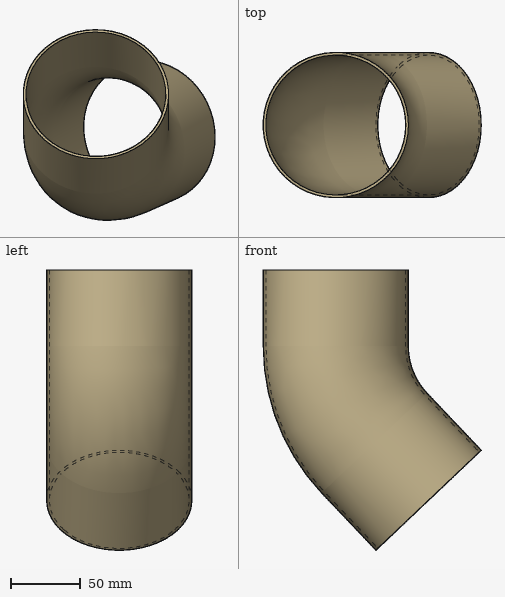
import cadquery as cq
import math

outer_diameter = 104.0
inner_diameter = 100.0
bend_radius = 101.0
bend_angle = 43.5
inlet_length = 54.5
outlet_length = 56.2

angle = math.radians(bend_angle)
half_angle = angle / 2


def point_on_bend(turn):
    """Centreline point in the XZ plane after the given turn in radians."""
    return (bend_radius * (1 - math.cos(turn)), -bend_radius * math.sin(turn))


bend_end_x, bend_end_z = point_on_bend(angle)
outlet_x = bend_end_x + outlet_length * math.sin(angle)
outlet_z = bend_end_z - outlet_length * math.cos(angle)

centreline = (
    cq.Workplane("XZ")
    .moveTo(0, inlet_length)
    .lineTo(0, 0)
    .threePointArc(point_on_bend(half_angle), (bend_end_x, bend_end_z))
    .lineTo(outlet_x, outlet_z)
)

result = (
    cq.Workplane("XY", origin=(0, 0, inlet_length))
    .circle(outer_diameter / 2)
    .circle(inner_diameter / 2)
    .sweep(centreline)
)